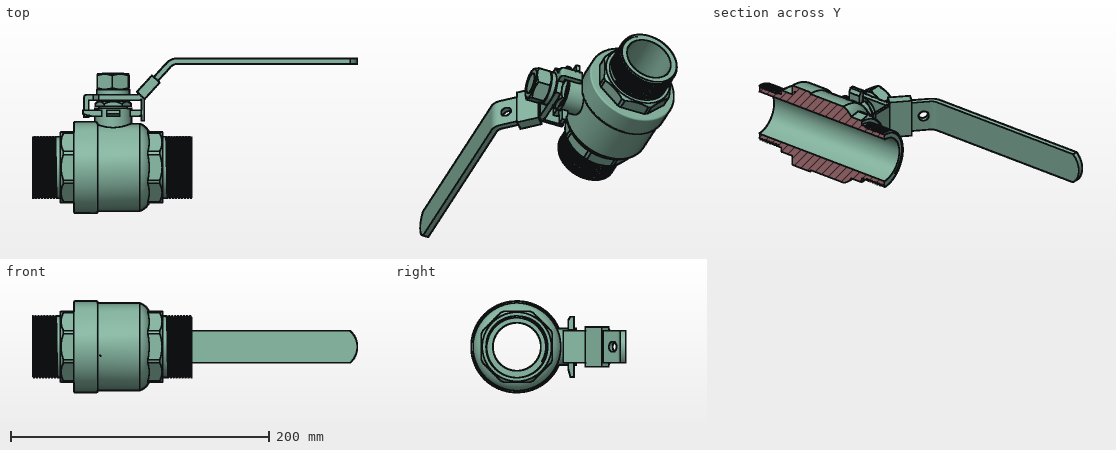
import cadquery as cq
import math


BORE_DIA = 37.0
LEFT_END_X = -62.4
RIGHT_END_X = 60.8
COLLAR_DIA = 71.0
COLLAR_LEFT_X = -30.3
COLLAR_RIGHT_X = -12.0
COLLAR_EDGE = 1.2
BARREL_DIA = 68.0
BARREL_RIGHT_X = 20.5
SHOULDER_MID = (24.8, 31.5)
SHOULDER_END = (28.2, 27.0)

WRENCH_FLATS = 55.0
WRENCH_CORNER_CHAMFER = 1.46
WRENCH_LEFT_X = -41.0
WRENCH_RIGHT_X = 38.6
WRENCH_FACE_RADIUS = 26.8
WRENCH_SIDES = 8
WRENCH_BEVEL_SLOPE = 1.0

THREAD_DIA = 47.8
INCH = 25.4
THREADS_PER_INCH = 11
THREAD_PITCH = INCH / THREADS_PER_INCH
THREAD_DEPTH = 0.64 * THREAD_PITCH
GROOVE_MOUTH = 0.85 * THREAD_PITCH
GROOVE_OVERRUN = 0.1
LEFT_NECK_X = -42.6
RIGHT_NECK_X = 40.6

NECK_DIA = 28.5
NECK_TOP_Y = 45.8
GLAND_DIA = 22.0
GLAND_TOP_Y = 47.3
GLAND_NUT_TOP_Y = 51.3
GLAND_NUT_FLATS = 24.2
GLAND_NUT_FACE_RADIUS = 11.8
GLAND_NUT_BEVEL_SLOPE = 1.0
STEM_DIA = 16.0
STEM_TOP_Y = 73.1
WASHER_DIA = 25.7
NUT_FLATS = 24.0
NUT_BOTTOM_Y = 60.2
NUT_TOP_Y = 72.5
NUT_FACE_RADIUS = 11.5
NUT_BEVEL_SLOPE = math.tan(math.radians(60))
HEX_SIDES = 6
NUT_TURN = 3.0

LUG_TOP_Y = 44.3
LUG_BOTTOM_Y = 39.6
LUG_TIP_Y = 41.4
LUG_REACH = 23.4
PLAIN_BEVEL_START = 20.3
STOP_BEVEL_START = 17.0
LUG_HALF_WIDTH = 5.1
STOP_FACE = 4.3
STOP_TIP = 9.7
STOP_ROOT = 11.1

LEVER_THICKNESS = 4.5
LEVER_WIDTH = 25.0
PLATE_TOP_Y = 56.4
HANDLE_TOP_Y = 84.5
LEVER_SLOPE = 47.6
PLATE_BEND_X = 19.0
HANDLE_END_X = 189.2
HANDLE_TIP_RISE = 5.7
BEND_INNER_RADIUS = 6.5
BEND_OUTER_RADIUS = BEND_INNER_RADIUS + LEVER_THICKNESS
TAB_END_X = -22.7
TAB_BOTTOM_Y = 39.0
TAB_THICKNESS = 3.9
TAB_WIDTH = 8.4
TAB_OUTER_RADIUS = 2.5
PLATE_SHOULDER_X = -11.0
PLATE_NARROW_X = -15.5
LOCK_HOLE_DIA = 8.0
LOCK_HOLE_Y = 77.2

SLEEVE_WIDTH = 31.0
SLEEVE_LENGTH = 17.4
SLEEVE_HEIGHT = 8.3
SLEEVE_START = 1.1
TONGUE_LEFT_X = 21.9
TONGUE_RIGHT_X = 24.2
TONGUE_WIDTH = 25.0
TONGUE_BOTTOM_Y = 36.0
TONGUE_TOP_Y = 54.0


def x_cylinder(diameter, x_start, x_end):
    return cq.Workplane("YZ", origin=(x_start, 0, 0)).circle(diameter / 2).extrude(x_end - x_start)


def y_cylinder(diameter, y_start, y_end):
    return cq.Workplane("XZ", origin=(0, y_start, 0)).circle(diameter / 2).extrude(y_start - y_end)


def chamfer_cone(face_radius, length, slope):
    """Cone along +Z that starts at face_radius and widens by slope, used to bevel a polygon end."""
    return (
        cq.Workplane("XZ")
        .polyline([(0, 0), (face_radius, 0), (face_radius + slope * length, length), (0, length)])
        .close()
        .revolve(360, (0, 0), (0, 1))
    )


def polygon_prism(sides, flats, length):
    corner_dia = flats / math.cos(math.pi / sides)
    return cq.Workplane("XY").polygon(sides, corner_dia).extrude(length)


def wrench_octagon(length):
    """Octagon along +Z with flats on both transverse axes and a bevelled start face."""
    prism = polygon_prism(WRENCH_SIDES, WRENCH_FLATS, length)
    prism = prism.rotate((0, 0, 0), (0, 0, 1), 180 / WRENCH_SIDES)
    prism = prism.edges("|Z").chamfer(WRENCH_CORNER_CHAMFER)
    return prism.intersect(chamfer_cone(WRENCH_FACE_RADIUS, length, WRENCH_BEVEL_SLOPE))


def thread_groove(length):
    """Helical V groove along +Z; it starts one pitch before Z = 0 and stops at length."""
    root_radius = THREAD_DIA / 2 - THREAD_DEPTH
    outer_radius = THREAD_DIA / 2 + GROOVE_OVERRUN
    half_mouth = GROOVE_MOUTH / 2
    half_outer = half_mouth * (1 + GROOVE_OVERRUN / THREAD_DEPTH)
    helix = cq.Wire.makeHelix(THREAD_PITCH, length + THREAD_PITCH - half_mouth, root_radius)
    groove = (
        cq.Workplane("XZ")
        .polyline(
            [
                (root_radius, 0),
                (outer_radius, -half_outer),
                (outer_radius, half_outer),
            ]
        )
        .close()
        .sweep(cq.Workplane(obj=helix), isFrenet=True)
    )
    return groove.translate((0, 0, -THREAD_PITCH))


def along_x(shape, x_start):
    """Turns a shape built along +Z so that it runs along +X from x_start."""
    return shape.rotate((0, 0, 0), (0, 1, 0), 90).translate((x_start, 0, 0))


def along_minus_x(shape, x_start):
    return shape.rotate((0, 0, 0), (0, 1, 0), -90).translate((x_start, 0, 0))


def along_y(shape, y_start):
    return shape.rotate((0, 0, 0), (1, 0, 0), -90).translate((0, y_start, 0))


def threaded_end(thread_length, full_length):
    """Threaded spigot along +Z from its outer face, with a plain neck behind the thread."""
    spigot = cq.Workplane("XY").circle(THREAD_DIA / 2).extrude(full_length)
    return spigot.cut(thread_groove(thread_length))


def valve_body():
    barrel_radius = BARREL_DIA / 2
    barrel = (
        cq.Workplane("XY")
        .moveTo(COLLAR_LEFT_X, 0)
        .lineTo(COLLAR_LEFT_X, barrel_radius)
        .lineTo(BARREL_RIGHT_X, barrel_radius)
        .threePointArc(SHOULDER_MID, SHOULDER_END)
        .lineTo(SHOULDER_END[0], 0)
        .close()
        .revolve(360, (0, 0, 0), (1, 0, 0))
    )
    collar = x_cylinder(COLLAR_DIA, COLLAR_LEFT_X, COLLAR_RIGHT_X).edges().fillet(COLLAR_EDGE)
    left_wrench = along_x(wrench_octagon(COLLAR_LEFT_X - WRENCH_LEFT_X + COLLAR_EDGE), WRENCH_LEFT_X)
    right_wrench = along_minus_x(wrench_octagon(WRENCH_RIGHT_X - BARREL_RIGHT_X), WRENCH_RIGHT_X)
    body = barrel.union(collar).union(left_wrench).union(right_wrench)
    left_spigot = threaded_end(LEFT_NECK_X - LEFT_END_X, WRENCH_LEFT_X - LEFT_END_X)
    right_spigot = threaded_end(RIGHT_END_X - RIGHT_NECK_X, RIGHT_END_X - WRENCH_RIGHT_X)
    return body.union(along_x(left_spigot, LEFT_END_X)).union(along_minus_x(right_spigot, RIGHT_END_X))


def lug_profile(bevel_start):
    """Side outline of a lug in the (reach, Y) plane; the underside is bevelled from bevel_start out."""
    return (
        cq.Workplane("XY")
        .polyline(
            [
                (0, LUG_TOP_Y),
                (LUG_REACH, LUG_TOP_Y),
                (LUG_REACH, LUG_TIP_Y),
                (bevel_start, LUG_BOTTOM_Y),
                (0, LUG_BOTTOM_Y),
            ]
        )
        .close()
    )


def plain_lug():
    """Lug reaching along +X, centred on the stem axis."""
    return lug_profile(PLAIN_BEVEL_START).extrude(LUG_HALF_WIDTH, both=True)


def stop_lug():
    """Lug reaching along +X beside the tab path, with one tapered side."""
    root_x = math.sqrt((NECK_DIA / 2) ** 2 - STOP_ROOT**2)
    plan = (
        cq.Workplane("XZ")
        .polyline(
            [
                (0, -STOP_FACE),
                (LUG_REACH, -STOP_FACE),
                (LUG_REACH, -STOP_TIP),
                (root_x, -STOP_ROOT),
                (0, -STOP_ROOT),
            ]
        )
        .close()
        .extrude(-LUG_TOP_Y)
    )
    return lug_profile(STOP_BEVEL_START).extrude(STOP_ROOT, both=True).intersect(plan)


def about_stem(shape, angle):
    return shape.rotate((0, 0, 0), (0, 1, 0), angle)


def stem_stack():
    neck = y_cylinder(NECK_DIA, 0, NECK_TOP_Y)
    gland = y_cylinder(GLAND_DIA, 0, GLAND_TOP_Y)
    stem = y_cylinder(STEM_DIA, 0, STEM_TOP_Y)
    washer = y_cylinder(WASHER_DIA, PLATE_TOP_Y, NUT_BOTTOM_Y)
    stack = neck.union(gland).union(stem).union(washer).union(gland_nut()).union(lever_nut())
    stack = stack.union(plain_lug()).union(about_stem(plain_lug(), -90))
    stack = stack.union(about_stem(stop_lug(), 180))
    mirrored_stop = stop_lug().mirror("XY")
    return stack.union(about_stem(mirrored_stop, 90))


def gland_nut():
    height = GLAND_NUT_TOP_Y - GLAND_TOP_Y
    nut = polygon_prism(HEX_SIDES, GLAND_NUT_FLATS, height)
    cone = chamfer_cone(GLAND_NUT_FACE_RADIUS, height, GLAND_NUT_BEVEL_SLOPE)
    nut = nut.intersect(cone.mirror("XY").translate((0, 0, height)))
    return along_y(nut, GLAND_TOP_Y)


def lever_nut():
    height = NUT_TOP_Y - NUT_BOTTOM_Y
    cone = chamfer_cone(NUT_FACE_RADIUS, height, NUT_BEVEL_SLOPE)
    nut = polygon_prism(HEX_SIDES, NUT_FLATS, height).rotate((0, 0, 0), (0, 0, 1), 180 / HEX_SIDES)
    nut = nut.intersect(cone).intersect(cone.mirror("XY").translate((0, 0, height)))
    return about_stem(along_y(nut, NUT_BOTTOM_Y), -NUT_TURN)


def slope_x(y):
    """X of the lever's sloping upper face at height y."""
    return PLATE_BEND_X + (y - PLATE_TOP_Y) / math.tan(math.radians(LEVER_SLOPE))


def lever():
    handle_bend_x = slope_x(HANDLE_TOP_Y)
    inner_shift = LEVER_THICKNESS * math.tan(math.radians(LEVER_SLOPE / 2))
    handle_bottom_y = HANDLE_TOP_Y - LEVER_THICKNESS
    plate_bottom_y = PLATE_TOP_Y - LEVER_THICKNESS
    tab_inner_x = TAB_END_X + TAB_THICKNESS
    strip = (
        cq.Workplane("XY")
        .polyline(
            [
                (TAB_END_X, PLATE_TOP_Y),
                (PLATE_BEND_X, PLATE_TOP_Y),
                (handle_bend_x, HANDLE_TOP_Y),
                (HANDLE_END_X, HANDLE_TOP_Y),
                (HANDLE_END_X, handle_bottom_y),
                (handle_bend_x + inner_shift, handle_bottom_y),
                (PLATE_BEND_X + inner_shift, plate_bottom_y),
                (tab_inner_x, plate_bottom_y),
                (tab_inner_x, TAB_BOTTOM_Y),
                (TAB_END_X, TAB_BOTTOM_Y),
            ]
        )
        .close()
        .extrude(LEVER_WIDTH / 2, both=True)
    )
    strip = round_edge(strip, handle_bend_x, HANDLE_TOP_Y, BEND_OUTER_RADIUS)
    strip = round_edge(strip, handle_bend_x + inner_shift, handle_bottom_y, BEND_INNER_RADIUS)
    strip = round_edge(strip, TAB_END_X, PLATE_TOP_Y, TAB_OUTER_RADIUS)
    return strip.intersect(lever_plan()).cut(lock_hole())


def round_edge(solid, x, y, radius):
    return solid.edges(cq.NearestToPointSelector((x, y, 0))).fillet(radius)


def lever_plan():
    """Lever outline across its width: narrow tab, shoulders, straight sides and arched tip."""
    half = LEVER_WIDTH / 2
    tab_half = TAB_WIDTH / 2
    tip_x = HANDLE_END_X - HANDLE_TIP_RISE
    return (
        cq.Workplane("XZ")
        .moveTo(TAB_END_X, -tab_half)
        .lineTo(PLATE_NARROW_X, -tab_half)
        .lineTo(PLATE_SHOULDER_X, -half)
        .lineTo(tip_x, -half)
        .threePointArc((HANDLE_END_X, 0), (tip_x, half))
        .lineTo(PLATE_SHOULDER_X, half)
        .lineTo(PLATE_NARROW_X, tab_half)
        .lineTo(TAB_END_X, tab_half)
        .close()
        .extrude(-HANDLE_TOP_Y)
    )


def slope_plane(y):
    """Plane on the lever's sloping upper face, X up the slope and Z square to the face."""
    slope = math.radians(LEVER_SLOPE)
    return cq.Plane(
        origin=(slope_x(y), y, 0),
        xDir=(math.cos(slope), math.sin(slope), 0),
        normal=(-math.sin(slope), math.cos(slope), 0),
    )


def lock_hole():
    hole = cq.Workplane(slope_plane(LOCK_HOLE_Y)).circle(LOCK_HOLE_DIA / 2)
    return hole.extrude(2 * LEVER_THICKNESS, both=True)


def locking_sleeve():
    wall = (SLEEVE_HEIGHT - LEVER_THICKNESS) / 2
    sleeve = cq.Workplane(slope_plane(PLATE_TOP_Y)).box(
        SLEEVE_LENGTH, SLEEVE_WIDTH, SLEEVE_HEIGHT, centered=(False, True, False)
    )
    slope = math.radians(LEVER_SLOPE)
    drop = SLEEVE_HEIGHT - wall
    shift_x = SLEEVE_START * math.cos(slope) + drop * math.sin(slope)
    shift_y = SLEEVE_START * math.sin(slope) - drop * math.cos(slope)
    sleeve = sleeve.translate((shift_x, shift_y, 0))
    tongue = cq.Workplane("XY").box(
        TONGUE_RIGHT_X - TONGUE_LEFT_X,
        TONGUE_TOP_Y - TONGUE_BOTTOM_Y,
        TONGUE_WIDTH,
        centered=(False, False, True),
    )
    return sleeve.union(tongue.translate((TONGUE_LEFT_X, TONGUE_BOTTOM_Y, 0)))


bore = x_cylinder(BORE_DIA, LEFT_END_X - THREAD_PITCH, RIGHT_END_X + THREAD_PITCH)
valve = valve_body().union(stem_stack()).cut(bore)
result = valve.union(lever()).union(locking_sleeve())